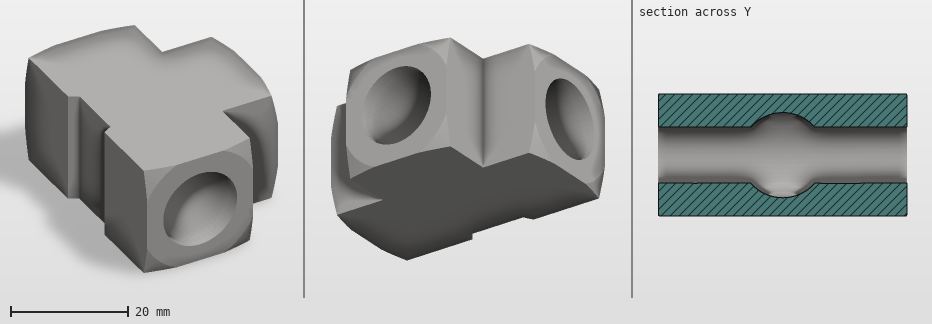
import cadquery as cq
import math

run_length = 42.55
overall_depth = 31.65
height = 20.95
run_depth = 20.75
branch_width = height
bore_diameter = 14.45

end_face_diameter = 22.8
chamfer_angle = 20.0

recess_mouth_width = 12.75
recess_floor_width = 10.8
recess_depth = 1.7

front_y = -run_depth / 2
branch_end_y = front_y + overall_depth
run_end_x = run_length / 2


def end_envelope(reach):
    """Cylinder about Z, tapering to the end face at the given reach."""
    end_radius = end_face_diameter / 2
    outer_radius = height
    taper_length = (outer_radius - end_radius) * math.tan(math.radians(chamfer_angle))
    profile = (
        cq.Workplane("XZ")
        .moveTo(0, -reach)
        .lineTo(outer_radius, -reach)
        .lineTo(outer_radius, reach - taper_length)
        .lineTo(end_radius, reach)
        .lineTo(0, reach)
        .close()
    )
    return profile.revolve(360, (0, 0, 0), (0, 1, 0))


def tee_body():
    run = cq.Workplane("XY").box(run_length, run_depth, height)
    for turn in (90, -90):
        run = run.intersect(end_envelope(run_end_x).rotate((0, 0, 0), (0, 1, 0), turn))

    branch = (
        cq.Workplane("XY")
        .box(branch_width, branch_end_y, height)
        .translate((0, branch_end_y / 2, 0))
    )
    branch = branch.intersect(end_envelope(branch_end_y).rotate((0, 0, 0), (1, 0, 0), -90))
    return run.union(branch)


def bores():
    """Through bore along the run, met at its axis by the branch bore."""
    bore_radius = bore_diameter / 2
    run_bore = cq.Workplane("YZ").circle(bore_radius).extrude(run_end_x, both=True)
    branch_bore = cq.Workplane("XZ").circle(bore_radius).extrude(-branch_end_y)
    return run_bore.union(branch_bore)


def front_recess():
    floor_y = front_y + recess_depth
    half_mouth = recess_mouth_width / 2
    half_floor = recess_floor_width / 2
    return (
        cq.Workplane("XY")
        .polyline([
            (-half_mouth, front_y),
            (half_mouth, front_y),
            (half_floor, floor_y),
            (-half_floor, floor_y),
        ])
        .close()
        .extrude(height / 2, both=True)
    )


result = tee_body().cut(bores()).cut(front_recess())